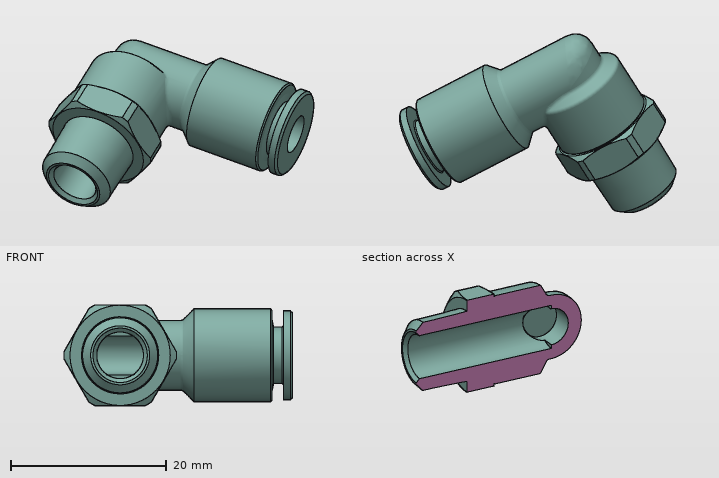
import cadquery as cq
import math


TUBE_RADIUS = 4.5
CORNER_RADIUS = 2.6
BLEND_RADIUS = 0.5
EDGE_MARGIN = 0.01

SLEEVE_RADIUS = 6.25
SHOULDER_START = 0.54
SHOULDER_ANGLE = 30
SLEEVE_END = 8.45
SLEEVE_END_CHAMFER = 0.15

HEX_ACROSS_FLATS = 13.0
HEX_CORNER_RADIUS = 7.25
HEX_FACE_RADIUS = 6.45
HEX_SIDES = 6
HEX_CHAMFER_ANGLE = 30
HEX_END = 12.5

STUD_END = 20.0
STUD_BASE_RADIUS = 4.97
STUD_TIP_RADIUS = 4.83
STUD_CHAMFER = 1.0
STUD_FACE_RADIUS = 3.8

SOCKET_RADIUS = 6.0
SOCKET_START = 8.0
SOCKET_END = 19.55
SOCKET_EDGE_CHAMFER = 0.2

COLLET_NECK_RADIUS = 3.65
COLLET_CONE_RADIUS = 4.6
COLLET_CONE_LENGTH = 0.2
COLLET_FLANGE_RADIUS = 5.75
COLLET_FLANGE_START = 21.0
COLLET_FLANGE_CHAMFER = 0.3
COLLET_ROOT_CHAMFER = 0.15
COLLET_END = 22.2

STUD_BORE_RADIUS = 3.0
STUD_BORE_MOUTH_RADIUS = 3.5
ARM_BORE_RADIUS = 2.5


def turned_on_stud(points):
    """Revolve (radius, distance along -Y) points about the stud axis."""
    profile = [(radius, -distance) for radius, distance in points]
    return cq.Workplane("XY").polyline(profile).close().revolve(360, (0, 0, 0), (0, 1, 0))


def turned_on_arm(points):
    """Revolve (distance along +X, radius) points about the arm axis."""
    return cq.Workplane("XY").polyline(points).close().revolve(360, (0, 0, 0), (1, 0, 0))


def corner_ellipsoid():
    """Ellipsoid tangent to both legs where the rounded outer corner begins and ends."""
    inset = TUBE_RADIUS - CORNER_RADIUS
    diagonal_semi_axis = math.sqrt(TUBE_RADIUS * (TUBE_RADIUS + inset))
    cross_semi_axis = math.sqrt(TUBE_RADIUS * (TUBE_RADIUS - inset))
    diagonal_part = diagonal_semi_axis / math.sqrt(2)
    cross_part = cross_semi_axis / math.sqrt(2)
    stretch = cq.Matrix([
        [diagonal_part, 0, cross_part, 0],
        [-diagonal_part, 0, cross_part, 0],
        [0, TUBE_RADIUS, 0, 0],
    ])
    unit_ball = cq.Workplane("XY").sphere(1).val()
    return cq.Workplane(unit_ball.transformGeometry(stretch))


def corner_wedge():
    """Wedge between the two planes where the rounded outer corner begins and ends."""
    near = 2 * (TUBE_RADIUS - CORNER_RADIUS)
    far = 2 * TUBE_RADIUS
    outline = [(0, 0), (-near, far), (-far, far), (-far, near)]
    return cq.Workplane("XY").polyline(outline).close().extrude(far, both=True)


def elbow_tube():
    """Two equal legs mitred at the origin, open at the outer corner."""
    path = cq.Workplane("XY").moveTo(0, -SLEEVE_END).lineTo(0, 0).lineTo(SOCKET_START, 0)
    leg_section = cq.Workplane("XZ", origin=(0, -SLEEVE_END, 0)).circle(TUBE_RADIUS)
    return leg_section.sweep(path, transition="right").cut(corner_wedge())


def sleeve():
    """Sleeve with a conical shoulder that meets the elbow tube."""
    shoulder_drop = (SLEEVE_RADIUS - TUBE_RADIUS) * math.tan(math.radians(SHOULDER_ANGLE))
    shoulder_end = SHOULDER_START + shoulder_drop
    body = turned_on_stud([
        (0, SHOULDER_START),
        (TUBE_RADIUS, SHOULDER_START),
        (SLEEVE_RADIUS, shoulder_end),
        (SLEEVE_RADIUS, SLEEVE_END - SLEEVE_END_CHAMFER),
        (SLEEVE_RADIUS - SLEEVE_END_CHAMFER, SLEEVE_END),
        (0, SLEEVE_END),
    ])

    def is_shoulder_rim(edge):
        box = edge.BoundingBox()
        return abs(box.ymin + shoulder_end) < EDGE_MARGIN and abs(box.ymax + shoulder_end) < EDGE_MARGIN

    return body.edges().filter(is_shoulder_rim).fillet(BLEND_RADIUS)


def hexagon():
    """Hexagon with flats facing +Z and -Z and its corners turned down at both ends."""
    length = HEX_END - SLEEVE_END
    circumscribed_diameter = HEX_ACROSS_FLATS / math.cos(math.pi / HEX_SIDES)
    section = cq.Workplane("XZ", origin=(0, -SLEEVE_END, 0)).polygon(HEX_SIDES, circumscribed_diameter)
    prism = section.extrude(length)
    drop = (HEX_CORNER_RADIUS - HEX_FACE_RADIUS) * math.tan(math.radians(HEX_CHAMFER_ANGLE))
    envelope = turned_on_stud([
        (0, SLEEVE_END),
        (HEX_FACE_RADIUS, SLEEVE_END),
        (HEX_CORNER_RADIUS, SLEEVE_END + drop),
        (HEX_CORNER_RADIUS, HEX_END - drop),
        (HEX_FACE_RADIUS, HEX_END),
        (0, HEX_END),
    ])
    return prism.intersect(envelope)


def stud():
    """Tapered stud with a chamfered tip."""
    return turned_on_stud([
        (0, HEX_END),
        (STUD_BASE_RADIUS, HEX_END),
        (STUD_TIP_RADIUS, STUD_END - STUD_CHAMFER),
        (STUD_FACE_RADIUS, STUD_END),
        (0, STUD_END),
    ])


def socket():
    """Tube socket that flares from the arm at 45 degrees."""
    flare_end = SOCKET_START + SOCKET_RADIUS - TUBE_RADIUS
    return turned_on_arm([
        (SOCKET_START, 0),
        (SOCKET_START, TUBE_RADIUS),
        (flare_end, SOCKET_RADIUS),
        (SOCKET_END - SOCKET_EDGE_CHAMFER, SOCKET_RADIUS),
        (SOCKET_END, SOCKET_RADIUS - SOCKET_EDGE_CHAMFER),
        (SOCKET_END, 0),
    ])


def collet():
    """Release collet: a neck leaving a shallow cone and ending in a flange."""
    return turned_on_arm([
        (SOCKET_END, 0),
        (SOCKET_END, COLLET_CONE_RADIUS),
        (SOCKET_END + COLLET_CONE_LENGTH, COLLET_NECK_RADIUS),
        (COLLET_FLANGE_START - COLLET_ROOT_CHAMFER, COLLET_NECK_RADIUS),
        (COLLET_FLANGE_START, COLLET_NECK_RADIUS + COLLET_ROOT_CHAMFER),
        (COLLET_FLANGE_START, COLLET_FLANGE_RADIUS),
        (COLLET_END - COLLET_FLANGE_CHAMFER, COLLET_FLANGE_RADIUS),
        (COLLET_END, COLLET_FLANGE_RADIUS - COLLET_FLANGE_CHAMFER),
        (COLLET_END, 0),
    ])


def stud_bore():
    """Bore from the stud tip to the arm axis, countersunk at the mouth."""
    mouth_depth = STUD_BORE_MOUTH_RADIUS - STUD_BORE_RADIUS
    return turned_on_stud([
        (0, 0),
        (STUD_BORE_RADIUS, 0),
        (STUD_BORE_RADIUS, STUD_END - mouth_depth),
        (STUD_BORE_MOUTH_RADIUS, STUD_END),
        (0, STUD_END),
    ])


def arm_bore():
    """Bore from the collet face to the far wall of the stud bore."""
    start = cq.Workplane("YZ", origin=(-STUD_BORE_RADIUS, 0, 0))
    return start.circle(ARM_BORE_RADIUS).extrude(COLLET_END + STUD_BORE_RADIUS)


def is_shoulder_joint(edge):
    """True for the edges where the sleeve and its shoulder meet the elbow tube."""
    box = edge.BoundingBox()
    inside_x = box.xmin > -TUBE_RADIUS - EDGE_MARGIN and box.xmax < SLEEVE_RADIUS + EDGE_MARGIN
    inside_y = box.ymin > -TUBE_RADIUS - EDGE_MARGIN and box.ymax < -SHOULDER_START + EDGE_MARGIN
    return inside_x and inside_y


def is_flare_joint(edge):
    """True for the circle where the arm meets the socket flare."""
    box = edge.BoundingBox()
    return box.xmin > SOCKET_START - EDGE_MARGIN and box.xmax < SOCKET_START + EDGE_MARGIN


def elbow_body():
    """Elbow tube, sleeve and socket with blended joints and the rounded outer corner."""
    body = elbow_tube().union(sleeve()).union(socket())
    body = body.edges().filter(is_shoulder_joint).fillet(BLEND_RADIUS)
    body = body.edges().filter(is_flare_joint).fillet(BLEND_RADIUS)
    return body.union(corner_ellipsoid().intersect(corner_wedge()))


solid_fitting = elbow_body().union(hexagon()).union(stud()).union(collet())
result = solid_fitting.cut(stud_bore()).cut(arm_bore())